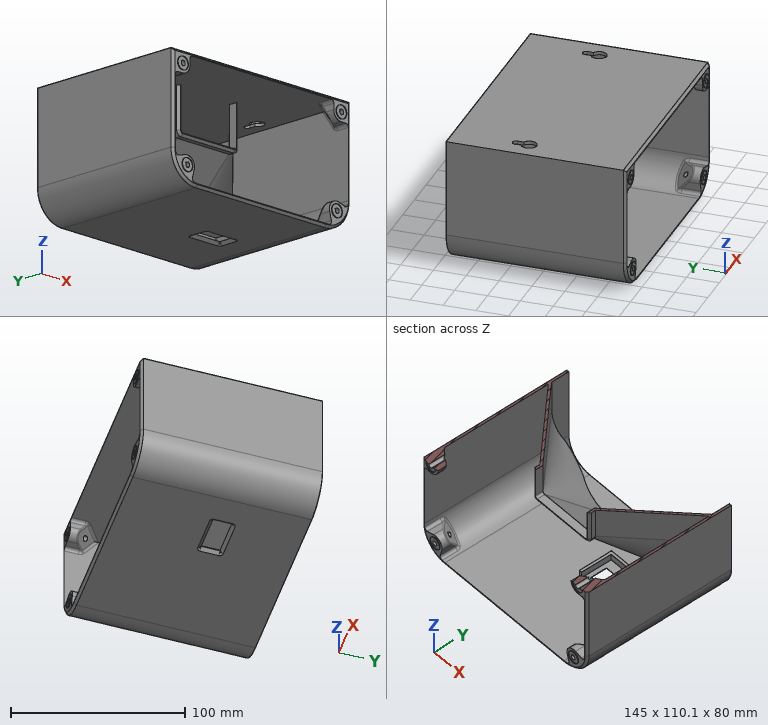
import cadquery as cq
import math

width = 145.0
height = 80.0
rim_depth = 109.6
wall = 2.0
corner_radius = 20.0
rim_chamfer = 1.6

throat_half_width = 22.6
throat_floor = 49.6
throat_corner_radius = 1.5
horn_depth = 63.8
collar_length = 66.7
horn_skin = wall * math.sqrt(2)

post_radius = 6.0
post_length = 5.0
post_root_fillet = 2.0
post_edge_fillet = 1.0
upper_post_inset = 8.0
lower_post_inset = 11.6
lower_post_taper = 15.0
washer_radius = 4.2
washer_height = 0.5
screw_radius = 1.6
screw_depth = 17.4

keyhole_spacing = 120.0
keyhole_head_radius = 4.5
keyhole_slot_radius = 2.0
keyhole_head_depth = 46.3
keyhole_slot_depth = 38.3

window_x = 22.5
window_width = 22.0
window_back = 42.2
window_front = 53.5
fence_width = 33.0
fence_back = 33.6
fence_front = 58.0
fence_top = 6.5
window_flare = 45.0

tolerance = 0.001


def housing_block(inset):
    """Housing block with square upper and rounded lower long edges, pulled in by inset."""
    return (
        cq.Workplane("XZ")
        .center(0, height / 2)
        .rect(width - 2 * inset, height - 2 * inset)
        .extrude(rim_depth)
        .edges("|Y and <Z")
        .fillet(corner_radius - inset)
    )


def horn_section(plane, growth):
    """Throat outline grown outwards on its sides and floor; the top stays at the top wall."""
    half = throat_half_width + growth
    floor = throat_floor - growth
    radius = throat_corner_radius + growth
    diagonal = radius * math.sqrt(0.5)
    return (
        plane.moveTo(-half, height)
        .lineTo(-half, floor + radius)
        .threePointArc((-half + radius - diagonal, floor + radius - diagonal), (-half + radius, floor))
        .lineTo(half - radius, floor)
        .threePointArc((half - radius + diagonal, floor + radius - diagonal), (half, floor + radius))
        .lineTo(half, height)
        .close()
    )


def horn_solid(depth):
    """45 degree flare from the back face up to its narrow end at the given depth."""
    mouth = horn_section(cq.Workplane("XZ"), depth)
    return horn_section(mouth.workplane(offset=depth), 0).loft(ruled=True)


def upper_column():
    """Square corner block for the right upper post."""
    reach = upper_post_inset + post_radius
    block = (
        cq.Workplane("XZ")
        .center(width / 2 - reach / 2, height - reach / 2)
        .rect(reach, reach)
        .extrude(rim_depth)
    )
    return block.edges("|Y and <X and <Z").fillet(post_radius)


def lower_column():
    """Round post for the right lower corner with two tangent flanks leaning in towards the corner."""
    lean = math.radians(lower_post_taper)
    flank = lower_post_inset
    across = post_radius * math.cos(lean)
    along = post_radius * math.sin(lean)
    end_across = across - flank * math.sin(lean)
    end_along = along + flank * math.cos(lean)
    tip = post_radius * math.sqrt(0.5)
    return (
        cq.Workplane("XZ")
        .center(width / 2 - lower_post_inset, lower_post_inset)
        .moveTo(end_along, end_across)
        .lineTo(along, across)
        .threePointArc((-tip, tip), (-across, -along))
        .lineTo(-end_across, -end_along)
        .lineTo(end_along, -end_along)
        .close()
        .extrude(rim_depth)
    )


def screw_post(column, x, z, towards_z):
    """Post blended into the walls, its underside sloping at 45 degrees out to the corner."""
    outwards = cq.Vector(1, 0, towards_z).normalized()
    backwards = cq.Vector(0, 1, 0)
    tip = cq.Vector(x, -rim_depth, z) - outwards * post_radius
    side_plane = cq.Plane(origin=tip, xDir=outwards, normal=outwards.cross(backwards))
    run = 4 * post_radius
    envelope = (
        cq.Workplane(side_plane)
        .polyline([(0, 0), (0, post_length), (run, post_length + run), (run, 0)])
        .close()
        .extrude(run, both=True)
    )
    post = column.intersect(envelope)

    def is_free(edge):
        centre = edge.Center()
        return math.hypot(centre.x - x, centre.z - z) < 1.5 * post_radius

    underside = cq.selectors.DirectionMinMaxSelector(backwards - outwards, True)
    post = post.faces(underside).edges().filter(is_free).fillet(post_edge_fillet)

    def is_root(edge):
        middle = edge.positionAt(0.5)
        point = cq.Vertex.makeVertex(*middle.toTuple())
        on_wall = point.distance(interior_walls) < tolerance
        on_post = point.distance(post.val()) < tolerance
        return on_wall and on_post and middle.y > tolerance - rim_depth

    free_space = interior.cut(post).edges().filter(is_root).fillet(post_root_fillet)
    return interior.cut(free_space)


def cylinder_at(x, z, depth, radius, length):
    """Cylinder along the depth, starting at the given depth and running towards the front."""
    return cq.Workplane("XZ").workplane(offset=depth).center(x, z).circle(radius).extrude(length)


def keyhole(x):
    """Round head with a narrower slot towards the back, cut through the top wall."""
    top = cq.Workplane("XY").workplane(offset=height)
    head = top.center(x, -keyhole_head_depth).circle(keyhole_head_radius).extrude(-wall)
    slot_end = top.center(x, -keyhole_slot_depth).circle(keyhole_slot_radius).extrude(-wall)
    slot = (
        top.center(x, -(keyhole_head_depth + keyhole_slot_depth) / 2)
        .rect(2 * keyhole_slot_radius, keyhole_head_depth - keyhole_slot_depth)
        .extrude(-wall)
    )
    return head.union(slot).union(slot_end)


def floor_block(block_width, back, front, bottom, top):
    """Block centred on the window, between two depths and two heights."""
    return (
        cq.Workplane("XY")
        .workplane(offset=bottom)
        .center(window_x, -(back + front) / 2)
        .rect(block_width, front - back)
        .extrude(top - bottom)
    )


shell = housing_block(0).faces("<Y").chamfer(rim_chamfer)
interior = housing_block(wall)
interior_walls = cq.Compound.makeCompound(interior.faces("not(<Y or >Y)").vals())
skin = horn_solid(horn_depth)
air = horn_solid(horn_depth - horn_skin).intersect(interior)
collar = horn_section(cq.Workplane("XZ"), wall).extrude(collar_length)
collar = collar.faces("<Y").chamfer(rim_chamfer)
throat = horn_section(cq.Workplane("XZ"), 0).extrude(collar_length).intersect(interior)
result = shell.cut(interior.cut(skin).cut(collar)).cut(air).cut(throat)

right_posts = [
    (upper_column(), width / 2 - upper_post_inset, height - upper_post_inset, 1),
    (lower_column(), width / 2 - lower_post_inset, lower_post_inset, -1),
]
for column, x, z, towards_z in right_posts:
    washer = cylinder_at(x, z, rim_depth, washer_radius, washer_height)
    screw_hole = cylinder_at(x, z, rim_depth + washer_height - screw_depth, screw_radius, screw_depth)
    post = screw_post(column, x, z, towards_z).union(washer).cut(screw_hole)
    result = result.union(post).union(post.mirror("YZ"))

for x in (-keyhole_spacing / 2, keyhole_spacing / 2):
    result = result.cut(keyhole(x))

fence = floor_block(fence_width, fence_back, fence_front, wall, fence_top)
fence_space = floor_block(fence_width - 2 * wall, fence_back + wall, fence_front, wall, fence_top)
window = (
    floor_block(window_width, window_back, window_front, 0, wall)
    .faces(">Z")
    .wires()
    .toPending()
    .extrude(-wall, combine=False, taper=-window_flare)
)
result = result.union(fence.cut(fence_space)).cut(window)